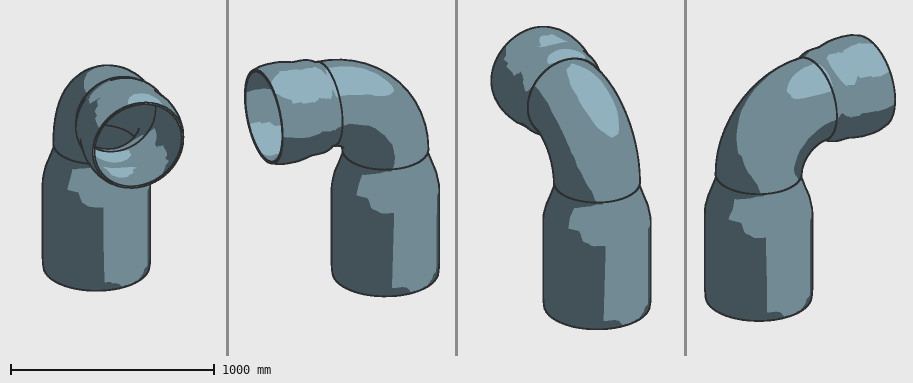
import cadquery as cq
import math

WALL = 10.0
BEND_RADIUS = 425.0 / 2
NECK_RADIUS = 420.0 / 2
BEND_CENTRELINE = 321.0
OVERALL_HEIGHT = 1249.0

SPIGOT_RADIUS = 530.0 / 2
SPIGOT_END_RADIUS = 261.0
SPIGOT_END_LENGTH = 47.0
SPIGOT_BARREL_LENGTH = 417.0
SHOULDER_LENGTH = 70.0
NECK_ARC_LENGTH = 30.0
NECK_LENGTH = 12.0
TAPER_ANGLE = math.radians(20.3)

SEAT_RADIUS = 468.0 / 2
BELL_RADIUS = 498.0 / 2
LIP_RADIUS = 235.0
SEAT_FLARE = (26.0, 52.0)
SEAT_LENGTH = 39.0
BELL_FLARE = (35.0, 61.0)
BELL_LENGTH = 47.0
LIP_LENGTH = 69.0

SOCKET_AXIS_HEIGHT = OVERALL_HEIGHT - BELL_RADIUS
SPIGOT_HEIGHT = SOCKET_AXIS_HEIGHT - BEND_CENTRELINE


def flare(outline, radius, height, end_radius, lengths):
    """Add a concave and a convex arc that join smoothly and widen to end_radius.

    Both arcs turn by the same angle and run along the axis at their outer ends.
    """
    concave, convex = lengths
    half_turn = math.atan2(end_radius - radius, concave + convex)
    middle_radius = radius + concave * math.tan(half_turn)
    middle_height = height + concave
    end_height = middle_height + convex
    bulge = math.tan(half_turn / 2) / (2 * math.cos(half_turn))
    return (
        outline.sagittaArc((middle_radius, middle_height), concave * bulge)
        .sagittaArc((end_radius, end_height), -convex * bulge)
    )


def spigot_core(inset):
    """Solid of revolution of the spigot with every radius reduced by inset."""
    end_radius = SPIGOT_END_RADIUS - inset
    barrel_radius = SPIGOT_RADIUS - inset
    neck_radius = NECK_RADIUS - inset
    barrel_top = SPIGOT_END_LENGTH + SPIGOT_BARREL_LENGTH
    neck_bottom = SPIGOT_HEIGHT - NECK_LENGTH
    arc_rise = math.tan(TAPER_ANGLE / 2)
    shoulder_radius = barrel_radius - SHOULDER_LENGTH * arc_rise
    shoulder_top = barrel_top + SHOULDER_LENGTH
    taper_radius = neck_radius + NECK_ARC_LENGTH * arc_rise
    taper_top = neck_bottom - NECK_ARC_LENGTH
    return (
        cq.Workplane("XZ")
        .lineTo(0, SPIGOT_HEIGHT)
        .lineTo(neck_radius, SPIGOT_HEIGHT)
        .lineTo(neck_radius, neck_bottom)
        .tangentArcPoint((taper_radius, taper_top), relative=False)
        .lineTo(shoulder_radius, shoulder_top)
        .tangentArcPoint((barrel_radius, barrel_top), relative=False)
        .lineTo(barrel_radius, SPIGOT_END_LENGTH)
        .tangentArcPoint((end_radius, 0), relative=False)
        .close()
        .revolve(360, (0, 0), (0, 1))
    )


def make_spigot():
    return spigot_core(0).cut(spigot_core(WALL))


def make_bend():
    """Quarter-circle pipe from the top of the spigot to the start of the socket."""
    return (
        cq.Workplane("XY", origin=(0, 0, SPIGOT_HEIGHT))
        .circle(BEND_RADIUS)
        .circle(NECK_RADIUS - WALL)
        .revolve(90, (BEND_CENTRELINE, 0), (BEND_CENTRELINE, 1))
    )


def socket_core(inset):
    """Solid of revolution of the socket along +Z with every radius reduced by inset."""
    start_radius = NECK_RADIUS - inset
    seat_radius = SEAT_RADIUS - inset
    bell_radius = BELL_RADIUS - inset
    lip_radius = LIP_RADIUS - inset
    seat_start = sum(SEAT_FLARE)
    seat_end = seat_start + SEAT_LENGTH
    bell_start = seat_end + sum(BELL_FLARE)
    bell_end = bell_start + BELL_LENGTH
    socket_end = bell_end + LIP_LENGTH
    outline = cq.Workplane("XZ").lineTo(start_radius, 0)
    outline = flare(outline, start_radius, 0, seat_radius, SEAT_FLARE)
    outline = outline.lineTo(seat_radius, seat_end)
    outline = flare(outline, seat_radius, seat_end, bell_radius, BELL_FLARE)
    outline = (
        outline.lineTo(bell_radius, bell_end)
        .tangentArcPoint((lip_radius, socket_end), relative=False)
        .lineTo(0, socket_end)
        .close()
    )
    return outline.revolve(360, (0, 0), (0, 1))


def make_socket():
    socket = socket_core(0).cut(socket_core(WALL))
    return socket.rotate((0, 0, 0), (0, 1, 0), 90).translate((BEND_CENTRELINE, 0, SOCKET_AXIS_HEIGHT))


spigot = make_spigot()
bend = make_bend()
socket = make_socket()

result = cq.Compound.makeCompound([spigot.val(), bend.val(), socket.val()])